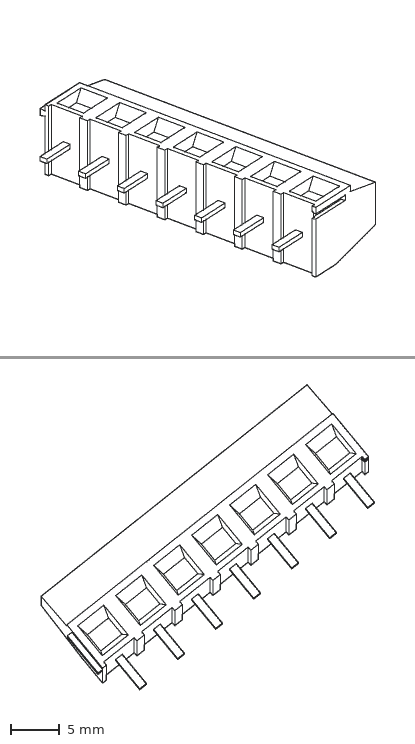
import cadquery as cq

overall_length = 35.6
overall_depth = 13.5
height = 8.2
pole_count = 7

pin_length = 3.5
tongue_reach = 0.6
housing_length = overall_length - tongue_reach
housing_depth = overall_depth - pin_length
pole_pitch = housing_length / pole_count
raised_top_depth = 5.8
step_drop = 0.7
rear_top_drop = 1.5
rear_bottom_rise = 1.7
flat_bottom_depth = 3.35

rib_width = 1.0
recess_depth = 0.43

pocket_width = 3.4
pocket_length = 4.0
pocket_front = 1.05
pocket_depth = 1.1
floor_width = 2.78
floor_length = 2.17
floor_front = 1.67

pin_width = 0.9
pin_thickness = 0.55
pin_height = height / 2

dovetail_length = 5.0
dovetail_drop = 1.07
dovetail_root = 0.6
dovetail_tip = 0.85

dovetail_height = height - dovetail_drop
left_side = -housing_length / 2
right_side = housing_length / 2
pole_positions = [left_side + (i + 0.5) * pole_pitch for i in range(pole_count)]


def make_housing():
    """Side profile extruded along the row of poles."""
    profile = [
        (0, 0),
        (flat_bottom_depth, 0),
        (housing_depth, rear_bottom_rise),
        (housing_depth, height - rear_top_drop),
        (raised_top_depth, height - step_drop),
        (raised_top_depth, height),
        (0, height),
    ]
    housing = cq.Workplane("YZ").polyline(profile).close().extrude(housing_length)
    return housing.translate((left_side, 0, 0))


def make_recess(x):
    """Full-height front recess of one pole."""
    recess_width = pole_pitch - rib_width
    recess = cq.Workplane("XY").box(recess_width, recess_depth, height, centered=(True, False, False))
    return recess.translate((x, 0, 0))


def make_pocket(x):
    """Wire pocket narrowing from the top face to its floor."""
    mouth_center = pocket_front + pocket_length / 2
    floor_center = floor_front + floor_length / 2
    return (
        cq.Workplane("XY", origin=(x, mouth_center, height))
        .rect(pocket_width, pocket_length)
        .workplane(offset=-pocket_depth)
        .center(0, floor_center - mouth_center)
        .rect(floor_width, floor_length)
        .loft(ruled=True)
    )


def make_pin(x):
    """Solder pin standing out from the recessed front face."""
    full_length = pin_length + recess_depth
    pin = cq.Workplane("XY").box(pin_width, full_length, pin_thickness, centered=(True, False, True))
    return pin.translate((x, -pin_length, pin_height))


def make_dovetail(root_x):
    """Dovetail bar widening towards -X, starting at the front face."""
    tip_x = root_x - tongue_reach
    section = [
        (root_x, dovetail_height - dovetail_root / 2),
        (root_x, dovetail_height + dovetail_root / 2),
        (tip_x, dovetail_height + dovetail_tip / 2),
        (tip_x, dovetail_height - dovetail_tip / 2),
    ]
    return cq.Workplane("XZ").polyline(section).close().extrude(-dovetail_length)


result = make_housing()
for pole_x in pole_positions:
    result = result.cut(make_recess(pole_x))
    result = result.cut(make_pocket(pole_x))
    result = result.union(make_pin(pole_x))
result = result.cut(make_dovetail(right_side))
result = result.union(make_dovetail(left_side))